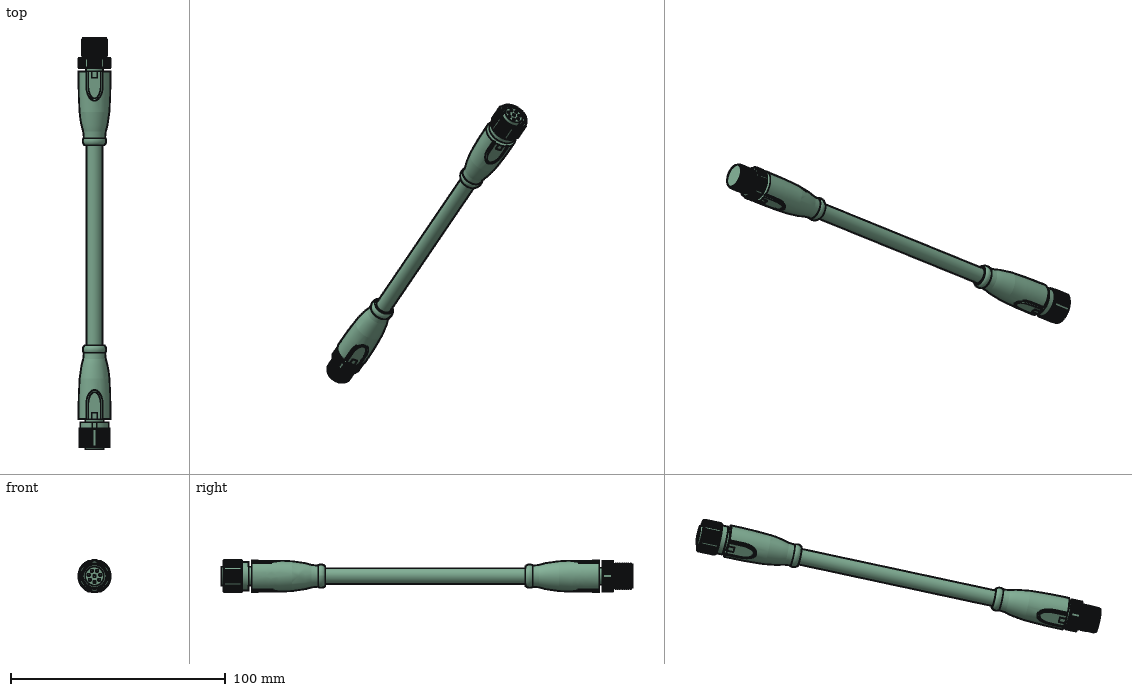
import cadquery as cq
import math


total_length = 191.5
plug_end_y = total_length / 2
socket_end_y = -total_length / 2
cable_radius = 3.75
cut_clearance = 1.0

grip_face_radius = 7.55
grip_barrel_radius = 7.43
grip_shoulder_length = 18.8
grip_shoulder_radius = 7.0
grip_taper_length = 28.0
grip_taper_radius = 5.3
waist_length = 31.0
waist_radius = 5.0
bead_base_radius = 5.15
bead_crest_length = 32.4
bead_crest_radius = 5.5
bead_end_radius = 4.6
grip_length = 34.4

recess_half_width = 3.9
recess_straight_length = 6.5
recess_length = 13.6
recess_floor_z = 6.1
pad_inset = 1.0
pad_top_z = 7.2
mark_width = 2.4
mark_length = 3.0
mark_top_z = 7.5

lobe_count = 6
ribs_per_lobe = 7
lobe_radius = 7.6
lobe_width = 1.6
rib_radius = 7.15
rib_width = 0.55
ring_root_radius = 6.75
ring_chamfer = 0.5

thread_radius = 6.0
thread_depth = 0.5
thread_pitch = 1.0
thread_length = 8.5
thread_tip_chamfer = 0.6
plug_ring_start = 9.2
plug_ring_end = 14.2
plug_face = 15.6
plug_shoulder_radius = 5.7
plug_neck_radius = 4.0

nut_start = 1.0
nut_end = 9.8
collar_end = 12.7
socket_face = 14.1
collar_radius = 6.7
collar_notch_width = 2.0
collar_notch_depth = 0.5
socket_neck_radius = 4.4
insert_radius = 4.4
nut_bore_radius = 5.4
nut_bore_depth = 7.5
nut_bore_chamfer = 0.6
contact_hole_radius = 0.6
contact_hole_depth = 5.0
contact_circle_radius = 2.75
outer_contact_count = 7


def cylinder_y(radius, start_y, end_y):
    """Cylinder on the Y axis between two Y positions."""
    plane = cq.Workplane("XZ", origin=(0, start_y, 0))
    return plane.circle(radius).extrude(start_y - end_y)


def box_between(x_range, y_range, z_range):
    """Box given by its limits along each axis."""
    lows, highs = zip(x_range, y_range, z_range)
    sizes = [high - low for low, high in zip(lows, highs)]
    return cq.Workplane("XY").box(*sizes, centered=False).translate(lows)


def recess_prism(inset, bottom_z, top_z):
    """Bullet-shaped prism from the grip face (y = 0) towards +Y, ending in a half ellipse."""
    half_width = recess_half_width - inset
    nose_length = recess_length - recess_straight_length - inset
    nose = (
        cq.Workplane("XY", origin=(0, recess_straight_length, bottom_z))
        .ellipse(half_width, nose_length)
        .extrude(top_z - bottom_z)
    )
    sides = box_between(
        (-half_width, half_width), (0, recess_straight_length), (bottom_z, top_z)
    )
    tail_removed = cylinder_y(2 * grip_face_radius, 0, grip_length)
    return nose.union(sides).intersect(tail_removed)


def make_grip():
    """Moulded grip with its face at y = 0 and its cable bead towards +Y."""
    body = (
        cq.Workplane("XY")
        .lineTo(grip_face_radius, 0)
        .threePointArc(
            (grip_barrel_radius, grip_shoulder_length / 2),
            (grip_shoulder_radius, grip_shoulder_length),
        )
        .tangentArcPoint((grip_taper_radius, grip_taper_length), relative=False)
        .lineTo(waist_radius, waist_length)
        .lineTo(bead_base_radius, waist_length)
        .threePointArc((bead_crest_radius, bead_crest_length), (bead_end_radius, grip_length))
        .lineTo(0, grip_length)
        .close()
        .revolve(360, (0, 0, 0), (0, 1, 0))
    )
    recess = recess_prism(0, recess_floor_z, grip_face_radius + cut_clearance)
    pad = recess_prism(pad_inset, recess_floor_z, pad_top_z)
    mark = box_between(
        (-mark_width / 2, mark_width / 2), (0, mark_length), (recess_floor_z, mark_top_z)
    )
    label = pad.union(mark)
    for side_angle in (0, 180):
        body = body.cut(recess.rotate((0, 0, 0), (0, 1, 0), side_angle))
        body = body.union(label.rotate((0, 0, 0), (0, 1, 0), side_angle))
    return body


def make_ribbed_ring(start_y, end_y, first_lobe_angle):
    """Ring with wide lobes and narrow ribs; the lobe angle is measured from +Z about Y."""
    ring = cylinder_y(ring_root_radius, start_y, end_y)
    rib_count = lobe_count * ribs_per_lobe
    for index in range(rib_count):
        is_lobe = index % ribs_per_lobe == 0
        width = lobe_width if is_lobe else rib_width
        height = lobe_radius + cut_clearance if is_lobe else rib_radius
        rib = box_between((-width / 2, width / 2), (start_y, end_y), (cable_radius, height))
        angle = first_lobe_angle + index * 360 / rib_count
        ring = ring.union(rib.rotate((0, 0, 0), (0, 1, 0), angle))
    envelope = cylinder_y(lobe_radius, start_y, end_y).edges().chamfer(ring_chamfer)
    return ring.intersect(envelope)


def make_thread():
    """Threaded plug end, simplified to parallel ridges one pitch apart."""
    root_radius = thread_radius - thread_depth
    start_y = plug_end_y - thread_length
    profile = cq.Workplane("XY").moveTo(0, start_y).lineTo(root_radius, start_y)
    for turn in range(math.floor(thread_length / thread_pitch)):
        turn_y = start_y + turn * thread_pitch
        profile = profile.lineTo(thread_radius, turn_y + thread_pitch / 2)
        profile = profile.lineTo(root_radius, turn_y + thread_pitch)
    profile = profile.lineTo(root_radius, plug_end_y).lineTo(0, plug_end_y).close()
    envelope = cylinder_y(thread_radius, start_y, plug_end_y)
    envelope = envelope.faces(">Y").edges().chamfer(thread_tip_chamfer)
    return profile.revolve(360, (0, 0, 0), (0, 1, 0)).intersect(envelope)


def make_plug():
    """Plug end: threaded sleeve, ribbed ring, neck and grip."""
    ring_start_y = plug_end_y - plug_ring_start
    ring_end_y = plug_end_y - plug_ring_end
    face_y = plug_end_y - plug_face
    shoulder = cylinder_y(plug_shoulder_radius, ring_start_y, plug_end_y - thread_length)
    ring = make_ribbed_ring(ring_end_y, ring_start_y, 180 / lobe_count)
    neck = cylinder_y(plug_neck_radius, face_y, ring_end_y)
    grip = make_grip().rotate((0, 0, 0), (0, 0, 1), 180).translate((0, face_y, 0))
    return make_thread().union(shoulder).union(ring).union(neck).union(grip)


def make_socket():
    """Socket end: ribbed nut around a contact insert, notched collar, neck and grip."""
    nut_start_y = socket_end_y + nut_start
    nut_end_y = socket_end_y + nut_end
    collar_end_y = socket_end_y + collar_end
    face_y = socket_end_y + socket_face

    nut = make_ribbed_ring(nut_start_y, nut_end_y, 0)
    nut = nut.cut(cylinder_y(nut_bore_radius, nut_start_y, nut_start_y + nut_bore_depth))
    nut_mouth = cq.Solid.makeCone(
        nut_bore_radius + nut_bore_chamfer,
        nut_bore_radius,
        nut_bore_chamfer,
        pnt=cq.Vector(0, nut_start_y, 0),
        dir=cq.Vector(0, 1, 0),
    )
    nut = nut.cut(cq.Workplane(nut_mouth))

    insert = cylinder_y(insert_radius, socket_end_y, nut_end_y)
    outer_contacts = [
        (
            contact_circle_radius * math.sin(2 * math.pi * index / outer_contact_count),
            -contact_circle_radius * math.cos(2 * math.pi * index / outer_contact_count),
        )
        for index in range(outer_contact_count)
    ]
    contact_holes = (
        cq.Workplane("XZ", origin=(0, socket_end_y, 0))
        .pushPoints([(0, 0)] + outer_contacts)
        .circle(contact_hole_radius)
        .extrude(-contact_hole_depth)
    )
    insert = insert.cut(contact_holes)

    notch = box_between(
        (-collar_notch_width / 2, collar_notch_width / 2),
        (nut_end_y, collar_end_y),
        (collar_radius - collar_notch_depth, collar_radius + cut_clearance),
    )
    collar = cylinder_y(collar_radius, nut_end_y, collar_end_y).cut(notch)
    neck = cylinder_y(socket_neck_radius, collar_end_y, face_y)
    grip = make_grip().translate((0, face_y, 0))
    return nut.union(insert).union(collar).union(neck).union(grip)


cable = cylinder_y(
    cable_radius,
    socket_end_y + socket_face + grip_length,
    plug_end_y - plug_face - grip_length,
)
result = cable.union(make_plug()).union(make_socket())